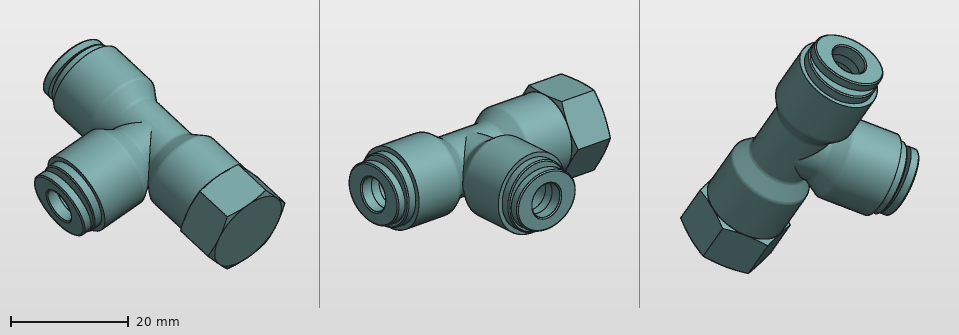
import cadquery as cq
import math

overall_length = 45.95

core_end = 5.0
shoulder = 8.0
arm_end = 17.0
collar_end = 18.7
flange_start = 19.35
port_end = 20.95
nut_end = overall_length - port_end

arm_dia = 14.9
core_dia = 11.0
flare_round = 1.0

bore_dia = 6.2
bore_end = shoulder

collar_dia = 13.15
collar_chamfer = 0.25

neck_dia = 7.5
neck_round = 0.15
flange_width = 13.1
flange_height = 11.0
flange_chamfer = 0.25
mouth_chamfer = 0.25

hex_flats = 15.0
hex_corners = hex_flats / math.cos(math.pi / 6)
hex_chamfer_length = 0.4


def cylinder(diameter, start, end):
    """Cylinder on the Z axis between two stations."""
    return cq.Workplane("XY").workplane(offset=start).circle(diameter / 2).extrude(end - start)


def to_branch(body):
    """Turn a body built along +Z to point along -Y, its local Y becoming Z."""
    return body.rotate((0, 0, 0), (1, 0, 0), 90)


def to_left(body):
    """Turn a body built along +Z to point along -X."""
    return to_branch(body).rotate((0, 0, 0), (0, 0, 1), -90)


def to_right(body):
    """Turn a body built along +Z to point along +X."""
    return to_branch(body).rotate((0, 0, 0), (0, 0, 1), 90)


def make_arm():
    """Solid arm of the tee: core, flare with blended ends, and full-diameter barrel."""
    profile = [
        (0, 0),
        (core_dia / 2, 0),
        (core_dia / 2, core_end),
        (arm_dia / 2, shoulder),
        (arm_dia / 2, arm_end),
        (0, arm_end),
    ]
    arm = cq.Workplane("XZ").polyline(profile).close().revolve(360, (0, 0, 0), (0, 1, 0))
    return arm.faces("%CONE").edges("%CIRCLE").fillet(flare_round)


def make_tee():
    """Three arms in one plane, with blind tube sockets in the left and branch arms."""
    arm = make_arm()
    socket = cylinder(bore_dia, bore_end, arm_end)
    tee = to_left(arm).union(to_right(arm)).union(to_branch(arm))
    return tee.cut(to_left(socket)).cut(to_branch(socket))


def make_collar():
    """Ring seated on the end face of an arm, chamfered at its outer rim."""
    collar = cylinder(collar_dia, arm_end, collar_end)
    collar = collar.faces(">Z").edges().chamfer(collar_chamfer)
    return collar.cut(cylinder(bore_dia, arm_end, collar_end))


def make_sleeve():
    """Release sleeve: chamfered oval flange on a short round neck, with a chamfered tube mouth."""
    flange = (
        cq.Workplane("XY")
        .workplane(offset=flange_start)
        .ellipse(flange_width / 2, flange_height / 2)
        .extrude(port_end - flange_start)
        .faces(">Z")
        .edges()
        .chamfer(flange_chamfer)
    )
    sleeve = flange.union(cylinder(neck_dia, collar_end, flange_start))
    sleeve = sleeve.faces("<Z[1]").edges("%CIRCLE").fillet(neck_round)
    sleeve = sleeve.cut(cylinder(bore_dia, collar_end, port_end))
    return sleeve.faces(">Z").edges("%CIRCLE").chamfer(mouth_chamfer)


def make_nut():
    """Hexagon with its corners turned down to the flats at both ends."""
    length = nut_end - arm_end
    hexagon = (
        cq.Workplane("XY")
        .workplane(offset=arm_end)
        .polygon(6, hex_corners)
        .extrude(length)
    )
    turned = cylinder(hex_corners, arm_end, nut_end)
    turned = turned.edges("%CIRCLE").chamfer(hex_chamfer_length, (hex_corners - hex_flats) / 2)
    return hexagon.intersect(turned)


tee = make_tee()
nut = to_right(make_nut())
collars = [place(make_collar()) for place in (to_left, to_branch)]
sleeves = [place(make_sleeve()) for place in (to_left, to_branch)]

result = cq.Compound.makeCompound(
    [tee.val(), nut.val()]
    + [collar.val() for collar in collars]
    + [sleeve.val() for sleeve in sleeves]
)